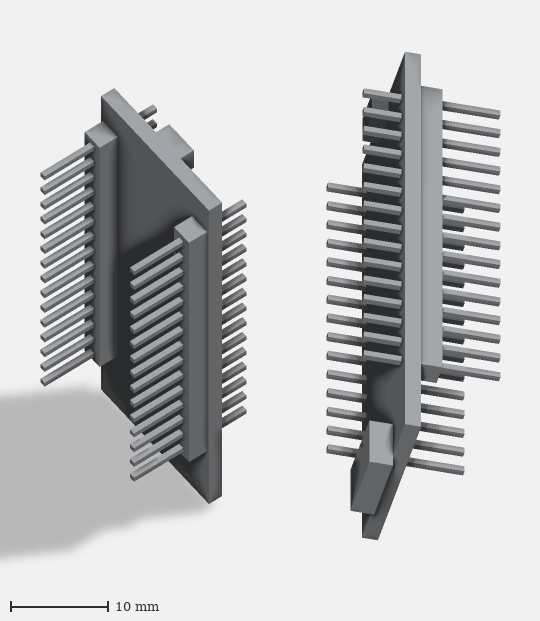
import cadquery as cq

overall_height = 51.9
board_width = 18.4
board_height = 50.65
board_thickness = 1.7

pin_count = 15
pin_pitch = 2.55
pin_size = 0.7
pin_front_reach = 6.4
pin_back_reach = 4.05
row_spacing = 6 * pin_pitch
strip_width = pin_pitch
strip_depth = 2.35
strip_height = 37.85
strip_top_gap = 4.0

usb_width = 8.0
usb_depth = 2.5
usb_height = 5.6
usb_overhang = overall_height - board_height

top_block_width = 4.2
top_block_depth = 1.7
top_block_height = 3.0


def block(width, depth, height, x_center, y_front, z_bottom):
    """Box centred on x_center, starting at y_front and z_bottom."""
    box = cq.Workplane("XY").box(width, depth, height, centered=(True, False, False))
    return box.translate((x_center, y_front, z_bottom))


def pin_header(x_center):
    """Header strip with its column of square pins running through the board."""
    strip_bottom = board_height - strip_top_gap - strip_height
    header = block(strip_width, strip_depth, strip_height, x_center, -strip_depth, strip_bottom)

    pin_length = pin_front_reach + strip_depth + board_thickness + pin_back_reach
    pin_front = -strip_depth - pin_front_reach
    row_length = (pin_count - 1) * pin_pitch
    first_pin_z = strip_bottom + (strip_height - row_length) / 2
    for index in range(pin_count):
        pin_bottom = first_pin_z + index * pin_pitch - pin_size / 2
        header = header.union(block(pin_size, pin_length, pin_size, x_center, pin_front, pin_bottom))
    return header


board = block(board_width, board_thickness, board_height, 0, 0, 0)
usb = block(usb_width, usb_depth, usb_height, 0, board_thickness, -usb_overhang)
top_block = block(
    top_block_width,
    top_block_depth,
    top_block_height,
    0,
    board_thickness,
    board_height - top_block_height,
)

result = board.union(usb).union(top_block)
for side in (-1, 1):
    result = result.union(pin_header(side * row_spacing / 2))